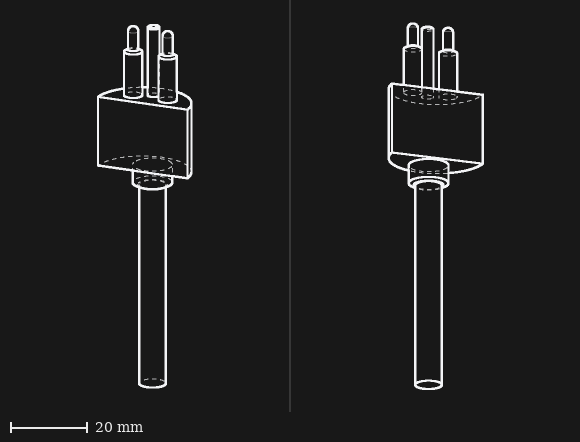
import cadquery as cq
import math

total_height = 98.1
body_bottom = 60.2
body_top = 79.2
collar_cone_top = 55.3
collar_bottom = 54.7

body_width = 25.4
body_radius = body_width / 2

cable_diameter = 7.0
collar_diameter = 10.4
collar_end_diameter = 7.8
cable_y = body_radius / 2

pin_spacing = 9.8
pin_y = 5.0
pin_diameter = 4.8
pin_tip_diameter = 2.7
pin_shoulder_bottom = 91.1
pin_shoulder_top = 91.7

centre_pin_y = 7.1
centre_pin_diameter = 3.1
centre_pin_chamfer = 0.34


def make_body():
    return (
        cq.Workplane("XY")
        .workplane(offset=body_bottom)
        .moveTo(-body_radius, 0)
        .lineTo(body_radius, 0)
        .threePointArc((0, body_radius), (-body_radius, 0))
        .close()
        .extrude(body_top - body_bottom)
    )


def make_cable():
    """Cable with a collar that tapers at its lower end."""
    return (
        cq.Workplane("XZ")
        .lineTo(cable_diameter / 2, 0)
        .lineTo(cable_diameter / 2, collar_bottom)
        .lineTo(collar_end_diameter / 2, collar_bottom)
        .lineTo(collar_diameter / 2, collar_cone_top)
        .lineTo(collar_diameter / 2, body_bottom)
        .lineTo(0, body_bottom)
        .close()
        .revolve(360, (0, 0), (0, 1))
        .translate((0, cable_y, 0))
    )


def make_contact_pin(x):
    """Stepped pin with a conical shoulder and a hemispherical tip."""
    tip_radius = pin_tip_diameter / 2
    dome_centre = total_height - tip_radius
    dome_mid_offset = tip_radius * math.sqrt(0.5)
    return (
        cq.Workplane("XZ")
        .moveTo(0, body_top)
        .lineTo(pin_diameter / 2, body_top)
        .lineTo(pin_diameter / 2, pin_shoulder_bottom)
        .lineTo(tip_radius, pin_shoulder_top)
        .lineTo(tip_radius, dome_centre)
        .threePointArc((dome_mid_offset, dome_centre + dome_mid_offset), (0, total_height))
        .close()
        .revolve(360, (0, 0), (0, 1))
        .translate((x, pin_y, 0))
    )


def make_centre_pin():
    return (
        cq.Workplane("XY")
        .workplane(offset=body_top)
        .center(0, centre_pin_y)
        .circle(centre_pin_diameter / 2)
        .extrude(total_height - body_top)
        .faces(">Z")
        .chamfer(centre_pin_chamfer)
    )


result = make_body().union(make_cable()).union(make_centre_pin())
for side in (-1, 1):
    result = result.union(make_contact_pin(side * pin_spacing / 2))